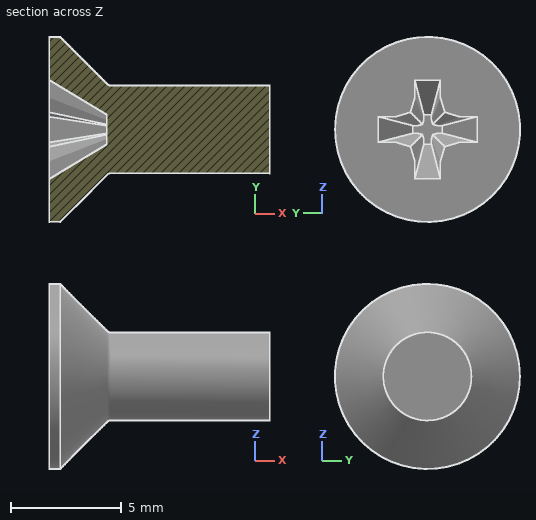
import cadquery as cq
import math

length = 10.0
head_radius = 4.2
shank_radius = 2.0
rim_width = 0.5
neck_fillet = 0.2
cone_angle = math.radians(45)

wing_count = 4
wing_reach = 2.24
wing_half_width = 0.58
flank_reach = 1.44
inner_corner = 0.78
floor_ratio = 0.3
recess_depth = 2.6


def make_body():
    half_turn = cone_angle / 2
    neck_x = rim_width + (head_radius - shank_radius) / math.tan(cone_angle)
    tangent_length = neck_fillet * math.tan(half_turn)
    cone_end_x = neck_x - tangent_length * math.cos(cone_angle)
    cone_end_radius = shank_radius + tangent_length * math.sin(cone_angle)
    fillet_end_x = neck_x + tangent_length
    middle_x = fillet_end_x - neck_fillet * math.sin(half_turn)
    middle_radius = shank_radius + neck_fillet * (1 - math.cos(half_turn))
    return (
        cq.Workplane("XY")
        .moveTo(0, 0)
        .lineTo(0, head_radius)
        .lineTo(rim_width, head_radius)
        .lineTo(cone_end_x, cone_end_radius)
        .threePointArc((middle_x, middle_radius), (fillet_end_x, shank_radius))
        .lineTo(length, shank_radius)
        .lineTo(length, 0)
        .close()
        .revolve(360, (0, 0, 0), (1, 0, 0))
    )


def cross_outline(scale):
    quarter = [
        (wing_reach, -wing_half_width),
        (wing_reach, wing_half_width),
        (flank_reach, wing_half_width),
        (inner_corner, inner_corner),
        (wing_half_width, flank_reach),
    ]
    points = []
    for _ in range(wing_count):
        points += [(scale * y, scale * z) for y, z in quarter]
        quarter = [(-z, y) for y, z in quarter]
    return points


def make_recess():
    return (
        cq.Workplane("YZ")
        .polyline(cross_outline(1))
        .close()
        .workplane(offset=recess_depth)
        .polyline(cross_outline(floor_ratio))
        .close()
        .loft(ruled=True)
    )


result = make_body().cut(make_recess())